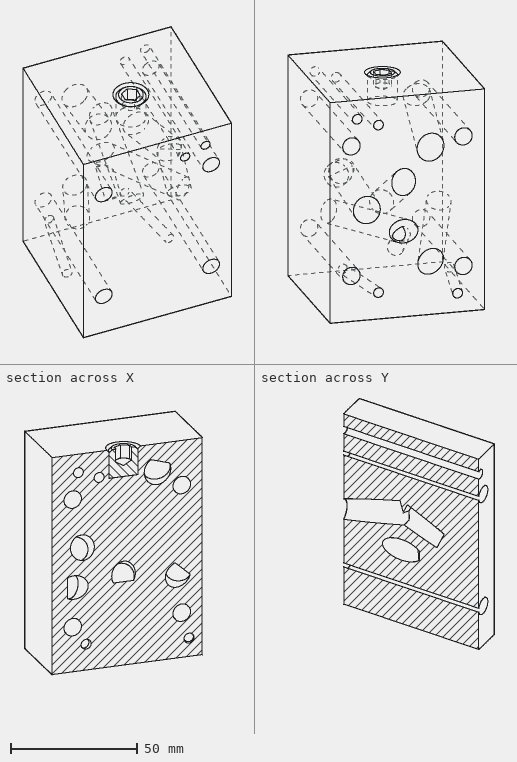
import cadquery as cq
import math

BLOCK_X = 62.0
BLOCK_Y = 63.5
BLOCK_Z = 92.1
PORT_FACE_X = -BLOCK_X / 2
MID_Y = 1.6
OVERRUN = 9.2

BOLT_DIAMETER = 7.2
BOLT_PITCH_Y = 46.0
BOLT_PITCH_Z = 54.05
PILOT_DIAMETER = 4.0
UPPER_PILOTS = [(20.6, 84.2), (11.9, 80.9)]

PORT_DIAMETER = 11.0
TANK_DIAMETER = 9.8
SIDE_PORT_Y = -9.5
OBLIQUE_REACH_X = 32.2
OBLIQUE_DRILLINGS = [
    (SIDE_PORT_Y, 69.8, PORT_DIAMETER, 20, 107),
    (SIDE_PORT_Y, 22.2, TANK_DIAMETER, 30, 132),
    (MID_Y, 56.3, TANK_DIAMETER, 30, -90),
    (MID_Y, 35.7, TANK_DIAMETER, 34, 0),
    (11.9, 11.05, PILOT_DIAMETER, 10, 0),
    (-20.6, 7.8, PILOT_DIAMETER, 10, 180),
]

PRESSURE_Y = 16.7
PRESSURE_Z = 45.95
PRESSURE_TILT = 17
PRESSURE_HEADING = 70
PRESSURE_DEPTH = 28.5
RETURN_DIAMETER = 9.8
RETURN_TILT = 25
RETURN_HEADING = -110
RETURN_LENGTH = 18.4

BRANCH_DIAMETER = 6.4
BRANCH_DEPTH_X = 4.5
BRANCH_Y = 0.8
BRANCH_Z = 33.15
BRANCH_TILT = 42
BRANCH_LENGTH = 13.8

PLUG_DIAMETER = 12.0
PLUG_LENGTH = 12.0
EDGE_CHAMFER = 1.1
SOCKET_CORNERS = 7.5
SOCKET_FLATS = SOCKET_CORNERS * math.cos(math.radians(30))
SOCKET_DEPTH = 5.5
SOCKET_CONE_DEPTH = 1.8
DOWN = cq.Vector(0, 0, -1)


def direction(tilt, heading):
    """Unit vector tilted away from +X, drifting along the heading in the YZ plane."""
    tilt_angle = math.radians(tilt)
    heading_angle = math.radians(heading)
    drift = math.sin(tilt_angle)
    return cq.Vector(
        math.cos(tilt_angle),
        drift * math.cos(heading_angle),
        drift * math.sin(heading_angle),
    )


def bore(start, axis, diameter, length):
    """Cylindrical cutter running from a point along a unit axis."""
    return cq.Workplane(cq.Solid.makeCylinder(diameter / 2, length, start, axis))


def port_drill(y, z, diameter, axis, depth):
    """Cutter that enters the port face at (y, z) and runs the depth past it."""
    start = cq.Vector(PORT_FACE_X, y, z) - axis * OVERRUN
    return bore(start, axis, diameter, depth + OVERRUN)


def cut_straight_holes(block):
    straight = cq.Vector(1, 0, 0)
    through = BLOCK_X + OVERRUN
    for side_y in (-1, 1):
        for side_z in (-1, 1):
            y = side_y * BOLT_PITCH_Y / 2
            z = BLOCK_Z / 2 + side_z * BOLT_PITCH_Z / 2
            block = block.cut(port_drill(y, z, BOLT_DIAMETER, straight, through))
    for y, z in UPPER_PILOTS:
        block = block.cut(port_drill(y, z, PILOT_DIAMETER, straight, through))
    return block


def cut_oblique_drillings(block):
    for y, z, diameter, tilt, heading in OBLIQUE_DRILLINGS:
        axis = direction(tilt, heading)
        block = block.cut(port_drill(y, z, diameter, axis, OBLIQUE_REACH_X / axis.x))
    return block


def cut_pressure_port(block):
    axis = direction(PRESSURE_TILT, PRESSURE_HEADING)
    bend = cq.Vector(PORT_FACE_X, PRESSURE_Y, PRESSURE_Z) + axis * PRESSURE_DEPTH
    block = block.cut(port_drill(PRESSURE_Y, PRESSURE_Z, PORT_DIAMETER, axis, PRESSURE_DEPTH))
    return_axis = direction(RETURN_TILT, RETURN_HEADING)
    return block.cut(bore(bend, return_axis, RETURN_DIAMETER, RETURN_LENGTH))


def cut_tank_branch(block):
    start = cq.Vector(PORT_FACE_X + BRANCH_DEPTH_X, BRANCH_Y, BRANCH_Z)
    return block.cut(bore(start, direction(BRANCH_TILT, -90), BRANCH_DIAMETER, BRANCH_LENGTH))


def cut_plug_bore(block):
    mouth = cq.Vector(0, MID_Y, BLOCK_Z)
    radius = PLUG_DIAMETER / 2
    countersink = cq.Solid.makeCone(radius + EDGE_CHAMFER, radius, EDGE_CHAMFER, mouth, DOWN)
    block = block.cut(bore(mouth, DOWN, PLUG_DIAMETER, PLUG_LENGTH))
    return block.cut(cq.Workplane(countersink))


def make_block():
    block = cq.Workplane("XY").box(BLOCK_X, BLOCK_Y, BLOCK_Z, centered=(True, True, False))
    block = cut_straight_holes(block)
    block = cut_oblique_drillings(block)
    block = cut_pressure_port(block)
    block = cut_tank_branch(block)
    return cut_plug_bore(block)


def make_plug():
    """Chamfered plug, flush with the top face, with a cone-bottomed hexagon socket."""
    top = cq.Workplane("XY", origin=(0, MID_Y, BLOCK_Z))
    plug = top.circle(PLUG_DIAMETER / 2).extrude(-PLUG_LENGTH)
    plug = plug.faces(">Z").edges().chamfer(EDGE_CHAMFER)
    plug = plug.cut(top.polygon(6, SOCKET_CORNERS).extrude(-SOCKET_DEPTH))
    socket_floor = cq.Vector(0, MID_Y, BLOCK_Z - SOCKET_DEPTH)
    cone = cq.Solid.makeCone(SOCKET_FLATS / 2, 0, SOCKET_CONE_DEPTH, socket_floor, DOWN)
    return plug.cut(cq.Workplane(cone))


block = make_block()
plug = make_plug()

result = cq.Compound.makeCompound([block.val(), plug.val()])